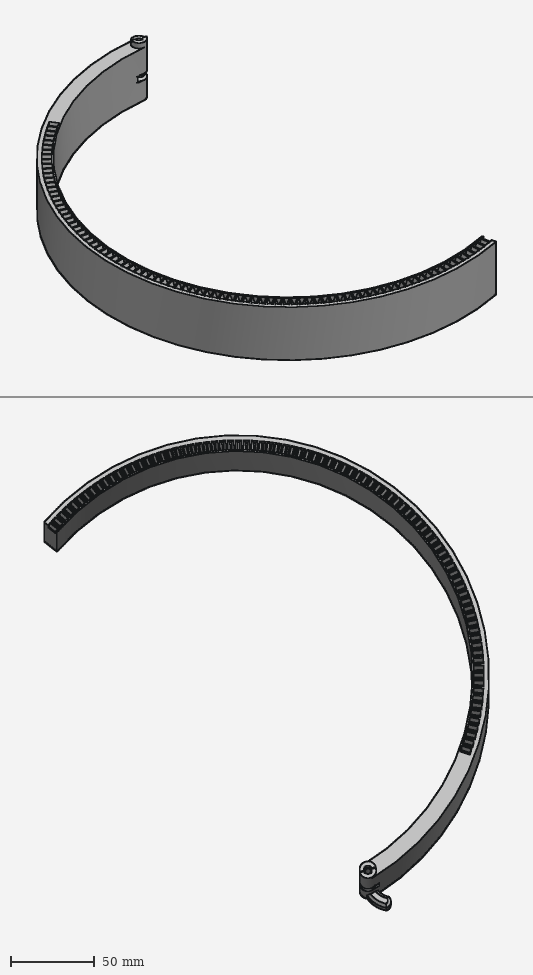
import cadquery as cq
import math

BAND_OUTER_R = 150.0
BAND_INNER_R = 140.0
BAND_HEIGHT = 40.0
FOOT_CHAMFER = 0.5
HINGE_ANGLE = 180.0
FREE_END_ANGLE = 378.0

TEETH_PER_TURN = 192
TOOTH_PITCH = 360 / TEETH_PER_TURN
GAP_COUNT = 86
TOOTH_OUTER_R = 147.0
TOOTH_INNER_R = 141.0
TOOTH_DEPTH = 4.0
GAP_TOP_WIDTH = 3.7
GAP_BOTTOM_WIDTH = 1.0

BARREL_R = 5.0
BARREL_HEIGHT = 44.0
BARREL_X = -(BAND_OUTER_R + BAND_INNER_R) / 2
STOP_HEIGHT = 2.0
STOP_ANGLE = -15.0
BORE_R = 4.7 / 2
BORE_DEPTH = 4.0
PIN_HOLE_R = 3.5 / 2
PIN_HOLE_DEPTH = 18.7

GROOVE_Z = 18.0
GROOVE_DEPTH = 1.5
GROOVE_FLOOR = 1.5
GROOVE_RELIEF_R = 7.0

LEVER_HEIGHT = 9.7
LEVER_CHAMFER = 2.0
LEVER_CENTER = (-149.0, -14.0)
LEVER_INNER_R = 10.0
LEVER_OUTER_R = 17.2
LEVER_ROOT_ANGLE = 85.0
LEVER_TIP_ANGLE = 129.5
LEVER_TIP_R = 4.0


def polar(radius, angle, center=(0.0, 0.0)):
    """Point at a radius and an angle in degrees from a centre."""
    turn = math.radians(angle)
    return (center[0] + radius * math.cos(turn), center[1] + radius * math.sin(turn))


def arc_strip(inner_r, outer_r, start, end, height):
    """Extruded ring segment between two angles."""
    middle = (start + end) / 2
    return (
        cq.Workplane("XY")
        .moveTo(*polar(outer_r, start))
        .threePointArc(polar(outer_r, middle), polar(outer_r, end))
        .lineTo(*polar(inner_r, end))
        .threePointArc(polar(inner_r, middle), polar(inner_r, start))
        .close()
        .extrude(height)
    )


def tooth_gaps():
    """Trapezoidal radial gaps between the band walls, the first one centred on the free end."""
    gap = (
        cq.Workplane("YZ", origin=(BAND_INNER_R, 0, BAND_HEIGHT))
        .polyline([
            (-GAP_TOP_WIDTH / 2, 0),
            (-GAP_BOTTOM_WIDTH / 2, -TOOTH_DEPTH),
            (GAP_BOTTOM_WIDTH / 2, -TOOTH_DEPTH),
            (GAP_TOP_WIDTH / 2, 0),
        ])
        .close()
        .extrude(BAND_OUTER_R - BAND_INNER_R)
        .val()
    )
    limit = arc_strip(TOOTH_INNER_R, TOOTH_OUTER_R, -TOOTH_PITCH, TOOTH_PITCH, BAND_HEIGHT).val()
    gap = gap.intersect(limit)
    axis = ((0, 0, 0), (0, 0, 1))
    return [gap.rotate(*axis, FREE_END_ANGLE - i * TOOTH_PITCH) for i in range(GAP_COUNT)]


def on_barrel(z):
    """Horizontal workplane on the barrel axis."""
    return cq.Workplane("XY", origin=(BARREL_X, 0, z))


def lever_outline(inset, z):
    """Closed outline of the lever at height z, drawn in by an inset on its long sides and tip."""
    inner_r = LEVER_INNER_R + inset
    outer_r = LEVER_OUTER_R - inset
    mid_r = (inner_r + outer_r) / 2
    tip_r = LEVER_TIP_R - inset
    corner_reach = math.sqrt(tip_r**2 - ((outer_r - inner_r) / 2) ** 2)
    corner_angle = LEVER_TIP_ANGLE + math.degrees(corner_reach / mid_r)
    tip_angle = LEVER_TIP_ANGLE + math.degrees(tip_r / mid_r)
    mid_angle = (LEVER_ROOT_ANGLE + corner_angle) / 2

    def point(radius, angle):
        return polar(radius, angle, LEVER_CENTER)

    return (
        cq.Workplane("XY", origin=(0, 0, z))
        .moveTo(*point(outer_r, LEVER_ROOT_ANGLE))
        .threePointArc(point(outer_r, mid_angle), point(outer_r, corner_angle))
        .threePointArc(point(mid_r, tip_angle), point(inner_r, corner_angle))
        .threePointArc(point(inner_r, mid_angle), point(inner_r, LEVER_ROOT_ANGLE))
        .close()
        .val()
    )


def lever():
    """Curved finger with a rounded tip, chamfered at the top and bottom."""
    levels = [
        (LEVER_CHAMFER, 0),
        (0, LEVER_CHAMFER),
        (0, LEVER_HEIGHT - LEVER_CHAMFER),
        (LEVER_CHAMFER, LEVER_HEIGHT),
    ]
    outlines = [lever_outline(inset, z) for inset, z in levels]
    return cq.Workplane(cq.Solid.makeLoft(outlines, True))


def groove():
    """Ring cutter with 45 degree sides, relieved outwards through the band."""
    floor_r = BARREL_R - GROOVE_DEPTH
    half_floor = GROOVE_FLOOR / 2
    half_mouth = half_floor + GROOVE_DEPTH
    return (
        cq.Workplane("XZ", origin=(BARREL_X, 0, GROOVE_Z))
        .polyline([
            (floor_r, -half_floor),
            (BARREL_R, -half_mouth),
            (GROOVE_RELIEF_R, -half_mouth),
            (GROOVE_RELIEF_R, half_mouth),
            (BARREL_R, half_mouth),
            (floor_r, half_floor),
        ])
        .close()
        .revolve(360, (0, 0, 0), (0, 1, 0))
    )


band = arc_strip(BAND_INNER_R, BAND_OUTER_R, HINGE_ANGLE, FREE_END_ANGLE, BAND_HEIGHT)
band = band.faces("<Z").chamfer(FOOT_CHAMFER)
band = cq.Workplane(band.val().cut(*tooth_gaps()))

barrel = on_barrel(0).circle(BARREL_R).extrude(BARREL_HEIGHT).faces("<Z").chamfer(FOOT_CHAMFER)
stop_cut = (
    on_barrel(BARREL_HEIGHT - STOP_HEIGHT)
    .transformed(rotate=(0, 0, STOP_ANGLE))
    .center(-2 * BARREL_R, 0)
    .rect(4 * BARREL_R, 4 * BARREL_R)
    .extrude(STOP_HEIGHT)
)
bore = on_barrel(BARREL_HEIGHT - BORE_DEPTH).circle(BORE_R).extrude(BORE_DEPTH)
pin_hole = on_barrel(BARREL_HEIGHT - PIN_HOLE_DEPTH).circle(PIN_HOLE_R).extrude(PIN_HOLE_DEPTH)

result = band.union(barrel).cut(groove()).union(lever()).cut(stop_cut).cut(bore).cut(pin_hole)